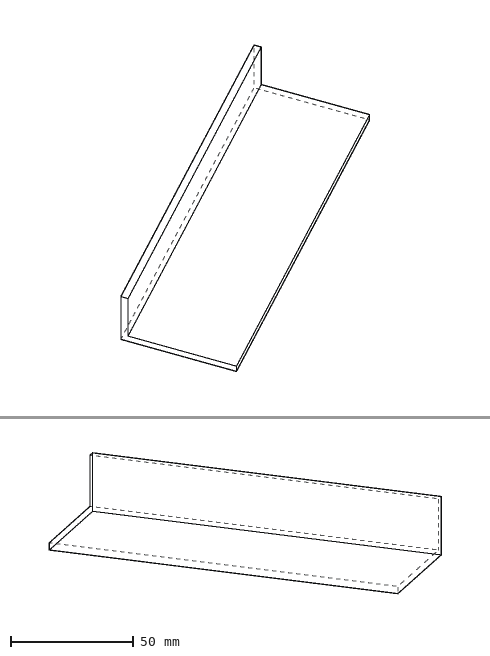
import cadquery as cq

length = 152.4
base_width = 50.7
wall_height = 25.5
thickness = 3.2

base = cq.Workplane("XY").box(base_width, length, thickness, centered=False)
wall = cq.Workplane("XY").box(thickness, length, wall_height, centered=False)

result = base.union(wall)